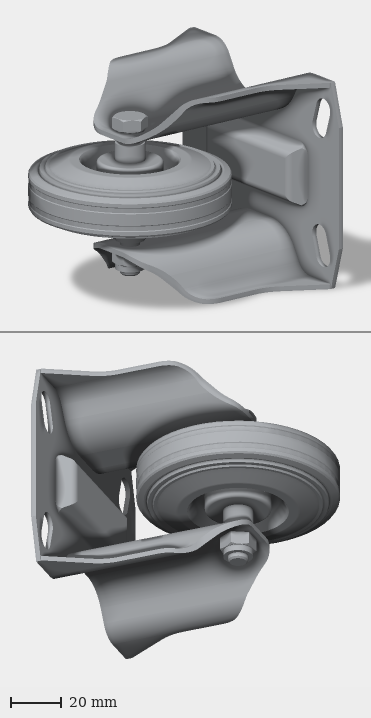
import cadquery as cq
import math


sheet = 2.0
plate_back_y = 67.0
plate_front_y = plate_back_y - sheet
plate_half_width = 50.0
plate_corner_z = 25.0
flange_half_width = 45.0
flange_z = 42.5
web_z = 24.5
web_half_width = 6.5
outer_bend_radius = 10.0
inner_bend_radius = 15.0
steep_angle = math.radians(60)

leg_tip_y = -9.0
waist_half_width = 32.4
flange_corner_y = 64.5
taper_y = 15.86
knee_x = 22.9
flange_corner_radius = 1.5
waist_radius = 20.0
taper_radius = 10.0

slot_width = 9.0
slot_length = 17.2
slot_x = 38.75
slot_z = 26.25
slot_angle = 72.5

pad_height = 7.0
pad_half_length = 29.6
pad_half_width = 12.7
pad_draft = 25.0
pad_edge_radius = 3.0
pad_root_radius = 1.3
pad_corner_radius = 6.0

bolt_diameter = 8.0
bolt_end_z = -34.8
bolt_chamfer = 0.7
sleeve_diameter = 12.0
sleeve_top_z = 19.5
sleeve_length = 40.0
hex_corners = 14.38
hex_chamfer_diameter = 12.2
hex_chamfer_angle = math.radians(30)
collar_diameter = 11.63
head_base_z = 25.0
head_top_z = 30.3
nut_hex_length = 5.5
nut_length = 8.0

wheel_radius = 40.0
groove_radius = 39.75
hub_face_z = 12.4
hub_radius = 13.05
hub_edge_radius = 1.2
hub_draft = 0.3
recess_floor_z = 6.0
recess_floor_radius = 15.5
recess_rim_radius = 20.0
recess_root_radius = 2.7
rim_inner_radius = 24.0
rim_blend_radius = 2.4
cone_end_radius = 31.85
step_z = 9.8
step_radius = 33.6
step_draft = 0.45
shoulder_z = 9.05
shoulder_radius = 35.5
tyre_seam_z = 7.75
tyre_lip_radius = 36.4
tyre_side_z = 8.0
tyre_side_radius = 37.1
tread_corner_radius = 39.5
tread_corner_z = 7.2
tread_edge_z = 6.5
groove_inner_z = 2.4
groove_outer_z = 5.0
groove_slope = 0.35


def rounded_outline(workplane, corners):
    """Closed outline through (u, v, radius) corners; the first corner must be sharp."""
    points = [cq.Vector(u, v) for u, v, _ in corners]
    outline = workplane.moveTo(points[0].x, points[0].y)
    for i in range(1, len(corners)):
        corner = points[i]
        radius = corners[i][2]
        if radius == 0:
            outline = outline.lineTo(corner.x, corner.y)
            continue
        back = (points[i - 1] - corner).normalized()
        ahead = (points[(i + 1) % len(points)] - corner).normalized()
        half_turn = (math.pi - back.getAngle(ahead)) / 2
        tangent_length = radius * math.tan(half_turn)
        start = corner + back * tangent_length
        end = corner + ahead * tangent_length
        middle = corner + (back + ahead).normalized() * (radius / math.cos(half_turn) - radius)
        outline = outline.lineTo(start.x, start.y)
        outline = outline.threePointArc((middle.x, middle.y), (end.x, end.y))
    return outline.close()


def both_sides(half, plane):
    """A half shape joined with its mirror image."""
    return half.union(half.mirror(plane))


def under_leg(depth, length):
    """Everything between Z = 0 and a surface lying `depth` inside the upper leg's outer face.

    Runs from the back of the plate over `length` towards -Y.
    """
    bend_half_tan = math.tan(steep_angle / 2)
    wall_run = (flange_z - web_z) / math.tan(steep_angle)
    web_corner_x = web_half_width + inner_bend_radius * bend_half_tan
    shift = depth * bend_half_tan
    half = rounded_outline(
        cq.Workplane("XZ", origin=(0, plate_back_y, 0)),
        [
            (0, 0, 0),
            (flange_half_width, 0, 0),
            (flange_half_width, flange_z - depth, 0),
            (web_corner_x + wall_run + shift, flange_z - depth, outer_bend_radius - depth),
            (web_corner_x + shift, web_z - depth, inner_bend_radius + depth),
            (0, web_z - depth, 0),
        ],
    ).extrude(length)
    return both_sides(half, "YZ")


def make_leg_side_cutter():
    """Block with the side outline of the legs, spanning both of them."""
    steep = math.tan(steep_angle)
    waist_y = flange_corner_y - (flange_half_width - waist_half_width) * steep
    knee_y = taper_y - (waist_half_width - knee_x)
    tip_corner_x = knee_x - (knee_y - leg_tip_y) / steep
    half = rounded_outline(
        cq.Workplane("XY", origin=(0, 0, -flange_z)),
        [
            (0, plate_back_y, 0),
            (flange_half_width, plate_back_y, 0),
            (flange_half_width, flange_corner_y, flange_corner_radius),
            (waist_half_width, waist_y, waist_radius),
            (waist_half_width, taper_y, taper_radius),
            (knee_x, knee_y, taper_radius),
            (tip_corner_x, leg_tip_y, taper_radius),
            (0, leg_tip_y, 0),
        ],
    ).extrude(2 * flange_z)
    return both_sides(half, "YZ")


def make_legs():
    full_length = plate_back_y - leg_tip_y
    upper_leg = under_leg(0, full_length).cut(under_leg(sheet, full_length))
    return both_sides(upper_leg, "XY").intersect(make_leg_side_cutter())


def make_plate():
    """Flat plate that follows the legs' outer face, with slanted ends."""
    end = (
        cq.Workplane("XZ", origin=(0, plate_back_y, 0))
        .polyline([
            (flange_half_width, 0),
            (plate_half_width, 0),
            (plate_half_width, plate_corner_z),
            (flange_half_width, flange_z),
        ])
        .close()
        .extrude(sheet)
    )
    upper_half = under_leg(0, sheet).union(both_sides(end, "YZ"))
    return both_sides(upper_half, "XY")


def make_slot(side_x, side_z):
    """Cutter for the slanted mounting slot in one corner of the plate."""
    return (
        cq.Workplane("XZ", origin=(0, plate_back_y, 0))
        .center(side_x * slot_x, side_z * slot_z)
        .slot2D(slot_length, slot_width, side_x * side_z * slot_angle)
        .extrude(sheet)
    )


def add_pad(plate):
    """Raise the drafted pad on the front of the plate, with a blended foot and trimmed corners."""
    front = cq.Workplane("XZ", origin=(0, plate_front_y, 0))
    pad = (
        front.rect(2 * pad_half_length, 2 * pad_half_width)
        .extrude(pad_height, taper=pad_draft)
        .faces("<Y")
        .edges()
        .fillet(pad_edge_radius)
    )
    select_margin = 0.1
    foot_edges = cq.selectors.BoxSelector(
        (-pad_half_length - select_margin, plate_front_y - select_margin, -pad_half_width - select_margin),
        (pad_half_length + select_margin, plate_front_y + select_margin, pad_half_width + select_margin),
    )
    blended = plate.union(pad).edges(foot_edges).fillet(pad_root_radius)

    blend_width = pad_root_radius * math.tan(math.radians(90 - pad_draft) / 2)
    foot_length = 2 * (pad_half_length + blend_width)
    foot_width = 2 * (pad_half_width + blend_width)
    foot = front.rect(foot_length, foot_width).extrude(pad_height)
    corner_trim = foot.cut(foot.edges("|Y").fillet(pad_corner_radius))
    return blended.cut(corner_trim)


def make_bracket():
    plate = add_pad(make_plate())
    for side_x in (-1, 1):
        for side_z in (-1, 1):
            plate = plate.cut(make_slot(side_x, side_z))
    return plate.union(make_legs())


def make_hexagon(bottom_z, length, ends):
    """Hexagonal prism with corners on +X and -X, chamfered all round at the given ends."""
    base = cq.Workplane("XY", origin=(0, 0, bottom_z))
    chamfer_width = (hex_corners - hex_chamfer_diameter) / 2
    chamfer_height = chamfer_width * math.tan(hex_chamfer_angle)
    envelope = base.circle(hex_corners / 2).extrude(length)
    for end in ends:
        envelope = envelope.faces(end).chamfer(chamfer_height, chamfer_width)
    return base.polygon(6, hex_corners).extrude(length).intersect(envelope)


def make_cylinder(diameter, bottom_z, top_z):
    return cq.Workplane("XY", origin=(0, 0, bottom_z)).circle(diameter / 2).extrude(top_z - bottom_z)


def make_axle():
    shank = make_cylinder(bolt_diameter, bolt_end_z, head_base_z).faces("<Z").chamfer(bolt_chamfer)
    sleeve = make_cylinder(sleeve_diameter, sleeve_top_z - sleeve_length, sleeve_top_z)
    head_collar = make_cylinder(collar_diameter, web_z, head_base_z)
    head = make_hexagon(head_base_z, head_top_z - head_base_z, ("<Z", ">Z"))
    nut = make_hexagon(-web_z - nut_hex_length, nut_hex_length, ("<Z",))
    nut_collar = make_cylinder(collar_diameter, -web_z - nut_length, -web_z - nut_hex_length)
    return shank.union(sleeve).union(head_collar).union(head).union(nut).union(nut_collar)


def make_wheel():
    upper_corners = [
        (sleeve_diameter / 2, hub_face_z, 0),
        (hub_radius, hub_face_z, hub_edge_radius),
        (hub_radius + hub_draft, recess_floor_z, 0),
        (recess_floor_radius, recess_floor_z, recess_root_radius),
        (recess_rim_radius, hub_face_z, 0),
        (rim_inner_radius, hub_face_z, rim_blend_radius),
        (cone_end_radius, step_z, 0),
        (step_radius - step_draft, step_z, 0),
        (step_radius, shoulder_z, 0),
        (shoulder_radius, shoulder_z, 0),
        (shoulder_radius + step_draft, tyre_seam_z, 0),
        (tyre_lip_radius, tyre_side_z, 0),
        (tyre_side_radius, tyre_side_z, 0),
        (tread_corner_radius, tread_corner_z, 0),
        (wheel_radius, tread_edge_z, 0),
        (wheel_radius, groove_outer_z, 0),
        (groove_radius, groove_outer_z - groove_slope, 0),
        (groove_radius, groove_inner_z + groove_slope, 0),
        (wheel_radius, groove_inner_z, 0),
    ]
    lower_corners = [(r, -z, rounding) for r, z, rounding in reversed(upper_corners)]
    outline = rounded_outline(cq.Workplane("XZ"), upper_corners + lower_corners)
    return outline.revolve(360, (0, 0, 0), (0, 1, 0))


axle = make_axle()
bracket = make_bracket().cut(axle)
wheel = make_wheel()

result = cq.Compound.makeCompound([*bracket.solids().vals(), *axle.solids().vals(), *wheel.solids().vals()])